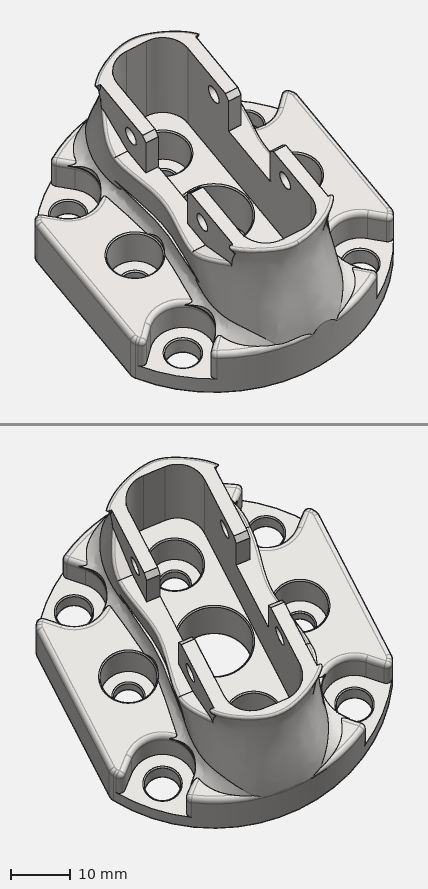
import cadquery as cq
import math

base_radius = 30.0
base_width = 52.0
base_height = 10.0
flat_corner_radius = 2.0
rim_radius = 1.0

corner_bolt_circle_radius = 25.0
corner_hole_diameter = 6.1
corner_pocket_radius = 5.5
corner_pocket_floor = 3.6

screw_offset = 15.8
screw_hole_diameter = 5.1
counterbore_diameter = 9.5
counterbore_floor = 2.5
center_bore_diameter = 13.0
hole_chamfer = 0.25

total_height = 30.0
cavity_length = 48.0
cavity_width = 14.0
cavity_corner_radius = 5.0
cavity_floor = base_height

tab_outer_width = 19.0
tab_gap = 12.8
tab_corner_chamfer = 1.0
ledge_height = 21.0
ledge_half_length = 12.0
relief_half_length = 20.4
relief_step_height = 24.6
relief_edge_radius = 0.5
pin_diameter = 3.3
pin_offset = 11.0
pin_height = 26.0

housing_sections = [
    (base_height - rim_radius, [(29.95, 0), (28.9, 6.5), (25.6, 9.6), (18.0, 11.4), (0, 10.0)]),
    (16.0, [(28.5, 0), (27.0, 6.2), (22.8, 9.6), (15.5, 11.7), (0, 10.0)]),
    (23.0, [(26.7, 0), (24.8, 6.0), (19.4, 9.9), (12.4, 12.5), (0, 10.9)]),
    (total_height, [(26.05, 0), (24.3, 6.0), (20.7, 10.8), (12.0, 12.9), (0, 11.0)]),
]

flare_height = 3.4
flare_sections = [
    (base_height - rim_radius / 2, [(29.6, 0), (28.7, 7.4), (24.6, 13.6), (14.0, 14.5), (0, 12.2)]),
    (base_height + 0.2 * flare_height, [(29.3, 0), (28.3, 6.7), (24.8, 10.9), (15.5, 12.2), (0, 10.95)]),
    (base_height + flare_height, [(28.4, 0), (27.2, 5.9), (23.7, 9.3), (16.0, 11.4), (0, 10.3)]),
]

edge_tolerance = 0.01

diagonal = corner_bolt_circle_radius * math.cos(math.radians(45))
corner_points = [(x, y) for x in (-diagonal, diagonal) for y in (-diagonal, diagonal)]
floor_screw_points = [(-screw_offset, 0), (screw_offset, 0)]
flange_screw_points = [(0, -screw_offset), (0, screw_offset)]


def block(x_size, y_size, z_low, z_high):
    """A box centred on the Z axis between two heights."""
    return cq.Workplane("XY").workplane(offset=z_low).rect(x_size, y_size).extrude(z_high - z_low)


def flange_blank(z_low, z_high):
    """The flatted disc between two heights."""
    disc = cq.Workplane("XY").workplane(offset=z_low).circle(base_radius).extrude(z_high - z_low)
    disc = disc.intersect(block(2 * base_radius, base_width, z_low, z_high))
    return disc.edges("|Z").fillet(flat_corner_radius)


def corner_pockets(z_high):
    """U-shaped pockets around the corner holes, open to the outside along each diagonal."""
    depth = z_high - corner_pocket_floor
    pockets = cq.Workplane("XY")
    for quarter in range(4):
        pocket = (
            cq.Workplane("XY")
            .workplane(offset=corner_pocket_floor)
            .moveTo(base_radius, -corner_pocket_radius)
            .lineTo(corner_bolt_circle_radius, -corner_pocket_radius)
            .threePointArc(
                (corner_bolt_circle_radius - corner_pocket_radius, 0),
                (corner_bolt_circle_radius, corner_pocket_radius),
            )
            .lineTo(base_radius, corner_pocket_radius)
            .close()
            .extrude(depth)
            .rotate((0, 0, 0), (0, 0, 1), 45 + 90 * quarter)
        )
        pockets = pockets.add(pocket)
    return pockets.combine()


def is_pocket_mouth(edge):
    """True for upright edges on the round side, clear of the rounded flat corners."""
    center = edge.Center()
    on_round_side = math.hypot(center.x, center.y) > base_radius - edge_tolerance
    return on_round_side and abs(center.y) < base_width / 2 - flat_corner_radius * math.sin(math.radians(15))


def make_flange():
    lower = flange_blank(0, corner_pocket_floor)
    upper = flange_blank(corner_pocket_floor, base_height).cut(corner_pockets(base_height))
    upper = upper.edges("|Z").filter(is_pocket_mouth).fillet(rim_radius)
    upper = upper.faces(">Z").edges().fillet(rim_radius)
    return lower.union(upper)


def section_wire(height, quarter):
    """Smooth closed outline, mirrored from one quarter about both axes."""
    inner = quarter[1:-1]
    upper_half = quarter + [(-x, y) for x, y in reversed(inner)]
    points = upper_half + [(-x, -y) for x, y in upper_half]
    vectors = [cq.Vector(x, y, height) for x, y in points]
    return cq.Wire.assembleEdges([cq.Edge.makeSpline(vectors, periodic=True)])


def loft_sections(sections):
    wires = [section_wire(height, quarter) for height, quarter in sections]
    return cq.Workplane(obj=cq.Solid.makeLoft(wires))


def make_relief():
    """Material outside the tab faces, above the sloping shoulder."""
    relief = (
        cq.Workplane("XZ")
        .polyline([
            (-relief_half_length, total_height),
            (-relief_half_length, relief_step_height),
            (-ledge_half_length, ledge_height),
            (ledge_half_length, ledge_height),
            (relief_half_length, relief_step_height),
            (relief_half_length, total_height),
        ])
        .close()
        .extrude(base_radius, both=True)
    )
    return relief.cut(block(2 * base_radius, tab_outer_width, ledge_height, total_height))


def make_tab_gap():
    """Opening between the tabs; its upper corners widen into the tab chamfers."""
    half_gap = tab_gap / 2
    chamfer_start = total_height - tab_corner_chamfer
    return (
        cq.Workplane("XZ")
        .polyline([
            (-half_gap, ledge_height),
            (half_gap, ledge_height),
            (half_gap, chamfer_start),
            (half_gap + tab_corner_chamfer, total_height),
            (-half_gap - tab_corner_chamfer, total_height),
            (-half_gap, chamfer_start),
        ])
        .close()
        .extrude(base_radius, both=True)
    )


def is_outer_edge(edge):
    """True for edges where the wavy skin meets the relief or the top faces of the ends."""
    center = edge.Center()
    beside_tabs = abs(center.y) > tab_outer_width / 2 and center.z >= ledge_height - edge_tolerance
    on_end_rim = abs(center.x) > relief_half_length and center.z >= total_height - edge_tolerance
    return edge.geomType() != "LINE" and (beside_tabs or on_end_rim)


def round_outer_edges(housing):
    return housing.edges().filter(is_outer_edge).fillet(relief_edge_radius)


def make_housing():
    """Lofted upright, kept inside the round side of the flange."""
    envelope = cq.Workplane("XY").circle(base_radius).extrude(total_height)
    housing = loft_sections(housing_sections).intersect(envelope)
    return round_outer_edges(housing.cut(make_relief())).cut(make_tab_gap())


def make_flare():
    flare = loft_sections(flare_sections)
    return flare.cut(corner_pockets(base_height + flare_height))


def make_cavity():
    cavity = block(cavity_length, cavity_width, cavity_floor, total_height)
    return cavity.edges("|Z").fillet(cavity_corner_radius)


def bore(points, diameter, z_low, z_top):
    """Round cutters chamfered at z_top, continuing upward at mouth size to clear the flare."""
    mouth_radius = diameter / 2 + hole_chamfer
    profile = (
        cq.Workplane("XZ")
        .moveTo(0, z_low)
        .lineTo(diameter / 2, z_low)
        .lineTo(diameter / 2, z_top - hole_chamfer)
        .lineTo(mouth_radius, z_top)
        .lineTo(mouth_radius, z_top + flare_height)
        .lineTo(0, z_top + flare_height)
        .close()
        .revolve(360, (0, 0, 0), (0, 1, 0))
    )
    cutter = profile.val()
    return cq.Workplane("XY").pushPoints(points).eachpoint(lambda place: cutter.moved(place))


def make_pin_holes():
    points = [(-pin_offset, pin_height), (pin_offset, pin_height)]
    return cq.Workplane("XZ").pushPoints(points).circle(pin_diameter / 2).extrude(base_radius, both=True)


result = make_flange().union(make_flare()).union(make_housing())
result = result.cut(make_cavity())
result = result.cut(bore(corner_points, corner_hole_diameter, 0, corner_pocket_floor))
for screws in (floor_screw_points, flange_screw_points):
    result = result.cut(bore(screws, counterbore_diameter, counterbore_floor, base_height))
    result = result.cut(bore(screws, screw_hole_diameter, 0, counterbore_floor))
result = result.cut(bore([(0, 0)], center_bore_diameter, 0, cavity_floor))
result = result.cut(make_pin_holes())